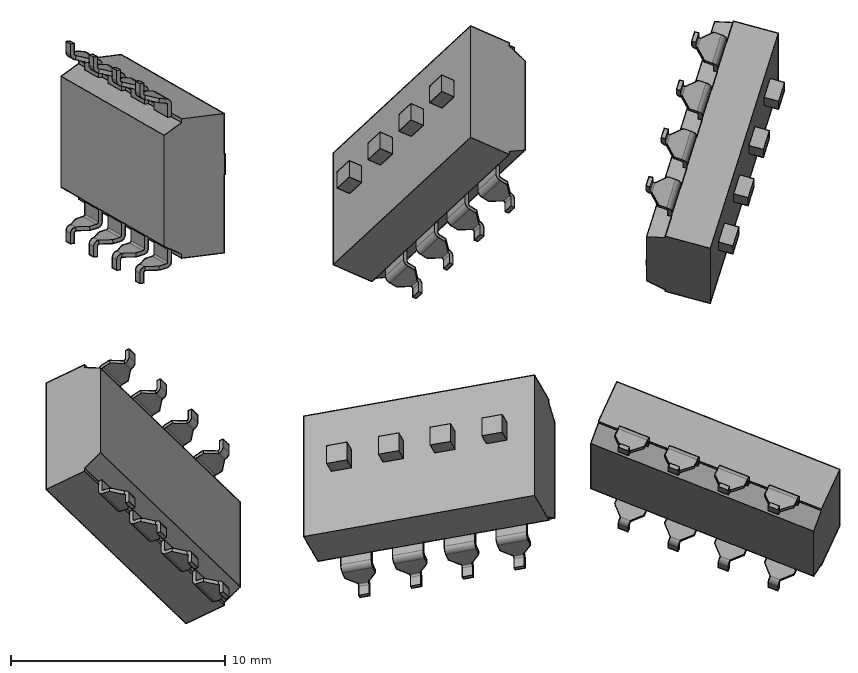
import cadquery as cq
import math


housing_length = 11.32
housing_height = 6.76
shelf_depth = 2.2
shelf_step = 0.18
bevel_depth = 0.9
bevel_height = 0.51
housing_depth = shelf_depth + bevel_depth
shelf_z = housing_height / 2 - shelf_step
base_z = shelf_z - bevel_height

position_count = 4
pitch = 2.54
position_xs = [(i - (position_count - 1) / 2) * pitch for i in range(position_count)]

slider_size = 1.0
slider_height = 0.7

lead_span = 9.69
lead_thickness = 0.2
lead_reach = 1.4
blade_width = 1.49
foot_width = 0.5
foot_length = 0.5
inner_radius = 0.1
slope_angle = 10.0
outer_radius = inner_radius + lead_thickness

slope_cos = math.cos(math.radians(slope_angle))
slope_sin = math.sin(math.radians(slope_angle))

strip_length = (
    lead_reach - 2 * outer_radius + (outer_radius + inner_radius) * slope_sin
) / slope_cos
strip_rise = strip_length * slope_sin + (outer_radius + inner_radius) * slope_cos
foot_tip_z = lead_span / 2
foot_bend = (shelf_depth + lead_reach - outer_radius, foot_tip_z - foot_length)
blade_bend = (shelf_depth + outer_radius, foot_bend[1] - strip_rise)

taper_length = (blade_width - foot_width) / 2

side_plane = cq.Plane(origin=(0, 0, 0), xDir=(0, -1, 0), normal=(-1, 0, 0))


def on_circle(center, radius, angle):
    """Point on a circle in the side plane, angle in degrees from the depth axis."""
    turn = math.radians(angle)
    return (center[0] + radius * math.cos(turn), center[1] + radius * math.sin(turn))


def make_housing():
    """Beveled block with one square slider per switch position."""
    body = (
        cq.Workplane(side_plane)
        .moveTo(0, housing_height / 2)
        .lineTo(shelf_depth, housing_height / 2)
        .lineTo(shelf_depth, shelf_z)
        .lineTo(housing_depth, base_z)
        .lineTo(housing_depth, -base_z)
        .lineTo(shelf_depth, -shelf_z)
        .lineTo(shelf_depth, -housing_height / 2)
        .lineTo(0, -housing_height / 2)
        .close()
        .extrude(housing_length / 2, both=True)
    )
    for x in position_xs:
        slider = cq.Workplane().box(
            slider_size, slider_height, slider_size, centered=(True, False, False)
        )
        body = body.union(slider.translate((x, 0, 0)))
    return body


def make_lead_strip():
    """Bent strip of an upper lead at X = 0, at full blade width throughout."""
    strip_top = 90 + slope_angle
    strip_bottom = strip_top + 180
    blade_mid = (strip_top + 180) / 2
    foot_mid = (strip_bottom + 360) / 2
    foot_inner_depth = shelf_depth + lead_reach - lead_thickness
    return (
        cq.Workplane(side_plane)
        .moveTo(shelf_depth, shelf_z)
        .lineTo(*on_circle(blade_bend, outer_radius, 180))
        .threePointArc(
            on_circle(blade_bend, outer_radius, blade_mid),
            on_circle(blade_bend, outer_radius, strip_top),
        )
        .lineTo(*on_circle(foot_bend, inner_radius, strip_bottom))
        .threePointArc(
            on_circle(foot_bend, inner_radius, foot_mid),
            on_circle(foot_bend, inner_radius, 0),
        )
        .lineTo(foot_inner_depth, foot_tip_z)
        .lineTo(shelf_depth + lead_reach, foot_tip_z)
        .lineTo(*on_circle(foot_bend, outer_radius, 0))
        .threePointArc(
            on_circle(foot_bend, outer_radius, foot_mid),
            on_circle(foot_bend, outer_radius, strip_bottom),
        )
        .lineTo(*on_circle(blade_bend, inner_radius, strip_top))
        .threePointArc(
            on_circle(blade_bend, inner_radius, blade_mid),
            on_circle(blade_bend, inner_radius, 180),
        )
        .lineTo(shelf_depth + lead_thickness, shelf_z)
        .close()
        .extrude(blade_width / 2, both=True)
    )


def make_taper_envelope():
    """Prism square to the sloping strip whose outline narrows from blade to foot width."""
    slope_plane = cq.Plane(
        origin=(0, -blade_bend[0], blade_bend[1]),
        xDir=(0, -slope_cos, slope_sin),
        normal=(0, slope_sin, slope_cos),
    )
    margin = lead_reach
    taper_start = strip_length - taper_length
    return (
        cq.Workplane(slope_plane)
        .moveTo(-margin, -blade_width / 2)
        .lineTo(taper_start, -blade_width / 2)
        .lineTo(strip_length, -foot_width / 2)
        .lineTo(strip_length + margin, -foot_width / 2)
        .lineTo(strip_length + margin, foot_width / 2)
        .lineTo(strip_length, foot_width / 2)
        .lineTo(taper_start, blade_width / 2)
        .lineTo(-margin, blade_width / 2)
        .close()
        .extrude(margin, both=True)
    )


def make_lead():
    """One upper lead at X = 0."""
    return make_lead_strip().intersect(make_taper_envelope())


housing = make_housing()

upper_lead = make_lead()
lower_lead = upper_lead.mirror("XY")
leads = []
for x in position_xs:
    for lead in (upper_lead, lower_lead):
        leads.append(lead.translate((x, 0, 0)).val())

result = cq.Compound.makeCompound([housing.val(), *leads])